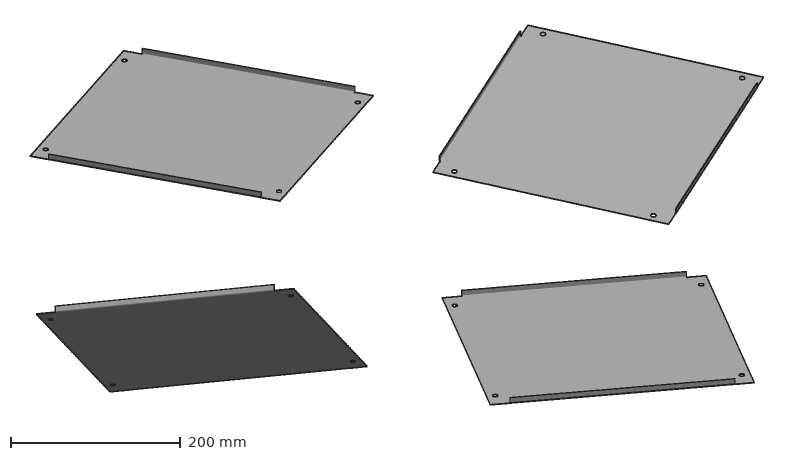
import cadquery as cq

panel_length = 317.0
overall_width = 299.0
sheet = 1.0
panel_width = overall_width - 2 * sheet

flange_length = 270.0
flange_height = 8.0
bend_inner_radius = 0.5
bend_outer_radius = bend_inner_radius + sheet

hole_diameter = 6.3
hole_spacing_x = 296.0
hole_spacing_y = 250.7


def make_panel():
    """Flat sheet with its underside on Z = 0."""
    return cq.Workplane("XY").box(panel_length, panel_width, sheet, centered=(True, True, False))


def make_bend_blank():
    """Space reserved for the rounded bends, as long as the flanges."""
    return cq.Workplane("XY").box(flange_length, overall_width, sheet, centered=(True, True, False))


def make_channel():
    """Shallow U of constant thickness: floor, two rounded bends and two flanges."""
    outer = (
        cq.Workplane("XY")
        .box(flange_length, overall_width, flange_height, centered=(True, True, False))
        .edges("|X and <Z")
        .fillet(bend_outer_radius)
    )
    inner = (
        cq.Workplane("XY")
        .workplane(offset=sheet)
        .box(flange_length, overall_width - 2 * sheet, flange_height, centered=(True, True, False))
        .edges("|X and <Z")
        .fillet(bend_inner_radius)
    )
    return outer.cut(inner)


def make_holes():
    """Through cutters for the four mounting holes."""
    return (
        cq.Workplane("XY")
        .rect(hole_spacing_x, hole_spacing_y, forConstruction=True)
        .vertices()
        .circle(hole_diameter / 2)
        .extrude(sheet)
    )


result = make_panel().cut(make_bend_blank()).union(make_channel()).cut(make_holes())